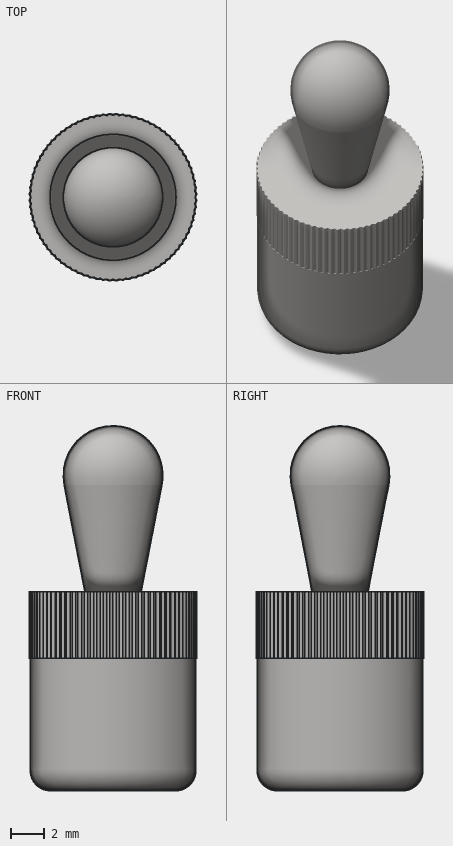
import cadquery as cq
import math

housing_diameter = 10.0
housing_height = 12.0
bottom_fillet = 1.25
collar_height = 4.0
collar_bottom = housing_height - collar_height

tooth_count = 80
knurl_tip_radius = 5.05
knurl_depth = 0.105
knurl_root_radius = knurl_tip_radius - knurl_depth

disc_diameter = 7.6
disc_thickness = collar_height
disc_bottom = housing_height - disc_thickness

total_height = 22.0
ball_radius = 3.0
ball_center = total_height - ball_radius
cone_half_angle = math.radians(11.0)
tangent_radius = ball_radius * math.cos(cone_half_angle)
tangent_height = ball_center - ball_radius * math.sin(cone_half_angle)
neck_radius = tangent_radius - (tangent_height - housing_height) * math.tan(cone_half_angle)


def polar_point(radius, angle):
    return (radius * math.cos(angle), radius * math.sin(angle))


def make_knurled_collar():
    """Toothed ring blank, with tooth valleys on the X and Y axes."""
    tooth_angle = 2 * math.pi / tooth_count
    outline = []
    for tooth in range(tooth_count):
        outline.append(polar_point(knurl_root_radius, tooth * tooth_angle))
        outline.append(polar_point(knurl_tip_radius, (tooth + 0.5) * tooth_angle))
    return (
        cq.Workplane("XY")
        .workplane(offset=collar_bottom)
        .polyline(outline)
        .close()
        .extrude(collar_height)
    )


def make_housing():
    barrel = (
        cq.Workplane("XY")
        .circle(housing_diameter / 2)
        .extrude(collar_bottom)
        .faces("<Z")
        .edges()
        .fillet(bottom_fillet)
    )
    disc_recess = (
        cq.Workplane("XY")
        .workplane(offset=disc_bottom)
        .circle(disc_diameter / 2)
        .extrude(disc_thickness)
    )
    return barrel.union(make_knurled_collar()).cut(disc_recess)


def make_disc():
    return (
        cq.Workplane("XY")
        .workplane(offset=disc_bottom)
        .circle(disc_diameter / 2)
        .circle(neck_radius)
        .extrude(disc_thickness)
    )


def make_pin():
    """Half profile in the XZ plane, revolved about Z."""
    arc_middle_angle = (math.pi / 2 - cone_half_angle) / 2
    arc_middle_x, arc_middle_rise = polar_point(ball_radius, arc_middle_angle)
    return (
        cq.Workplane("XZ")
        .moveTo(0, disc_bottom)
        .lineTo(neck_radius, disc_bottom)
        .lineTo(neck_radius, housing_height)
        .lineTo(tangent_radius, tangent_height)
        .threePointArc((arc_middle_x, ball_center + arc_middle_rise), (0, total_height))
        .close()
        .revolve(360, (0, 0, 0), (0, 1, 0))
    )


housing = make_housing()
disc = make_disc()
pin = make_pin()

result = cq.Compound.makeCompound([housing.val(), disc.val(), pin.val()])